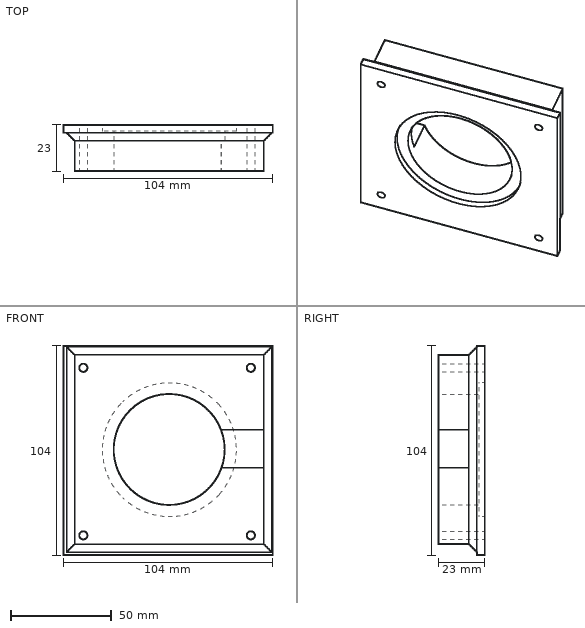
import cadquery as cq

flange_size = 104.0
total_depth = 23.0
flange_depth = 4.0
bevel_depth = 4.0
body_depth = total_depth - flange_depth - bevel_depth

body_size = 94.0
body_offset = 0.5
bevel_run = 4.0
bevel_base_size = body_size + 2 * bevel_run

bore_diameter = 55.0
recess_diameter = 66.6
recess_depth = 3.0
screw_hole_diameter = 4.0
screw_hole_spacing = 83.2
screw_hole_offset = -0.5
slot_width = 18.8
slot_offset = 0.3

bevel_front = body_depth
flange_front = body_depth + bevel_depth


def plane_at(y, offset):
    """XZ sketch plane at depth y, facing -Y, with its origin shifted along X and Z."""
    return cq.Workplane("XZ", origin=(offset, y, offset))


flange = plane_at(total_depth, 0).rect(flange_size, flange_size).extrude(flange_depth)
bevel = (
    plane_at(flange_front, body_offset)
    .rect(bevel_base_size, bevel_base_size)
    .workplane(offset=bevel_depth)
    .rect(body_size, body_size)
    .loft(ruled=True)
)
body = plane_at(bevel_front, body_offset).rect(body_size, body_size).extrude(body_depth)

bore = plane_at(total_depth, body_offset).circle(bore_diameter / 2).extrude(total_depth)
screw_holes = (
    plane_at(total_depth, screw_hole_offset)
    .rect(screw_hole_spacing, screw_hole_spacing, forConstruction=True)
    .vertices()
    .circle(screw_hole_diameter / 2)
    .extrude(total_depth)
)

recess = plane_at(total_depth, body_offset).circle(recess_diameter / 2).extrude(recess_depth)

slot_length = body_size / 2
slot = (
    plane_at(bevel_front, body_offset)
    .center(slot_length / 2, slot_offset)
    .rect(slot_length, slot_width)
    .extrude(body_depth)
)

result = flange.union(bevel).union(body).cut(bore).cut(recess).cut(screw_holes).cut(slot)